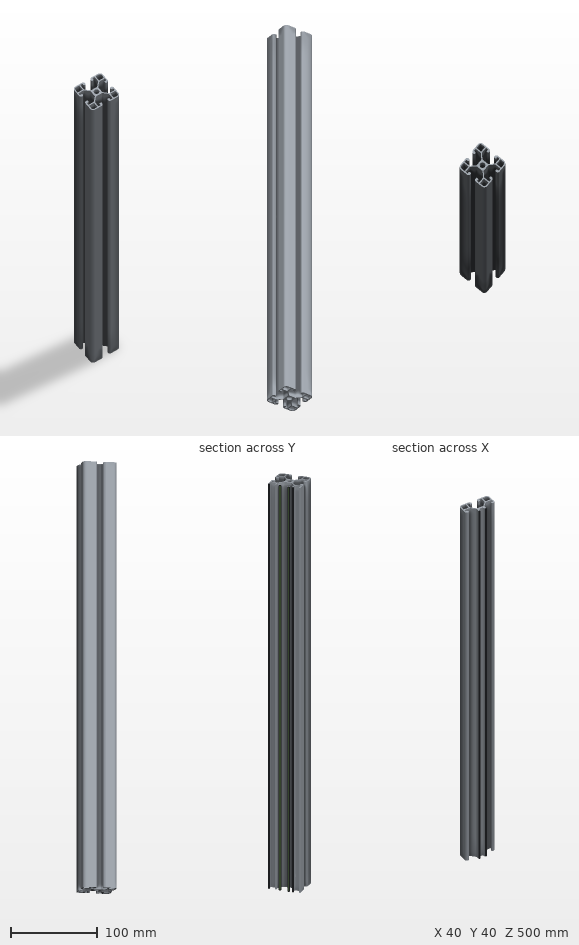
import cadquery as cq

side = 40.0
length = 500.0
half = side / 2
corner_radius = 4.4

slot_opening = 8.0
wall = 1.5
lip_width = 3.0
lip_depth = 4.5
lip_chamfer = 1.65
lip_tip_radius = 1.0

tube_inner_edge = 10.0
hollow_outer_radius = 2.5
hollow_inner_radius = 0.5

core_side = 10.5
bore_diameter = 6.5
web_thickness = 1.25


def bar(x_min, x_max, y_min, y_max):
    """Full-length bar covering the given rectangle of the cross-section."""
    return (
        cq.Workplane("XY")
        .center((x_min + x_max) / 2, (y_min + y_max) / 2)
        .rect(x_max - x_min, y_max - y_min)
        .extrude(length)
    )


def turn(body, angle):
    """Rotate a body about the long axis of the extrusion."""
    return body.rotate((0, 0, 0), (0, 0, 1), angle)


def flange_and_lip():
    """Outer wall along the +Y side, ending in a lip beside the slot opening."""
    lip_start = slot_opening / 2
    lip = bar(lip_start, lip_start + lip_width, half - lip_depth, half)
    lip = lip.edges("|Z and <Y").fillet(lip_tip_radius)
    lip = lip.edges("|Z and <X and >Y").chamfer(lip_chamfer)
    flange = bar(lip_start + lip_chamfer, tube_inner_edge, half - wall, half)
    return lip.union(flange)


def corner_tube():
    """Hollow square tube in the +X +Y corner, rounded on the outside."""
    outer = bar(tube_inner_edge, half, tube_inner_edge, half)
    outer = outer.edges("|Z and >X and >Y").fillet(corner_radius)
    hollow_start = tube_inner_edge + wall
    hollow_end = half - wall
    hollow = bar(hollow_start, hollow_end, hollow_start, hollow_end)
    hollow = hollow.edges("|Z and >X and >Y").fillet(hollow_outer_radius)
    hollow = hollow.edges("|Z and <X and <Y").fillet(hollow_inner_radius)
    return outer.cut(hollow)


def diagonal_web():
    """Web from the middle of the section into the inner corner of the corner tube."""
    reach = (tube_inner_edge + wall / 2) * 2**0.5
    return turn(bar(0, reach, -web_thickness / 2, web_thickness / 2), 45)


def quadrant():
    """Everything outside the core in the +X +Y quarter of the section."""
    flange = flange_and_lip()
    other_flange = turn(flange.mirror("YZ"), -90)
    return corner_tube().union(flange).union(other_flange).union(diagonal_web())


core = cq.Workplane("XY").rect(core_side, core_side).extrude(length)
bore = cq.Workplane("XY").circle(bore_diameter / 2).extrude(length)

section = core
quarter = quadrant()
for quarter_turn in range(4):
    section = section.union(turn(quarter, 90 * quarter_turn))

result = section.cut(bore).translate((0, 0, -length / 2)).clean()